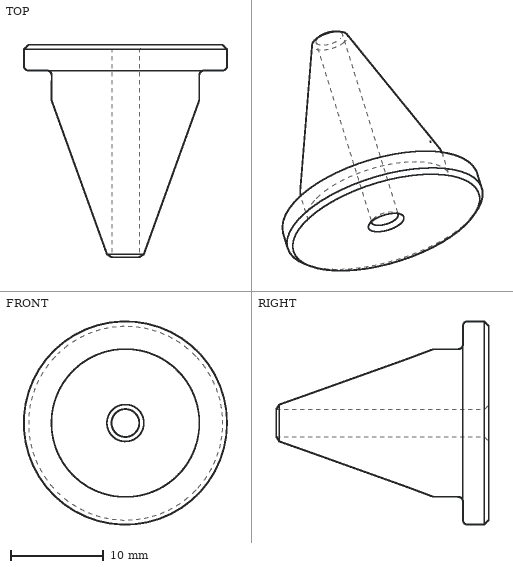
import cadquery as cq

total_length = 23.0
flange_thickness = 2.8
collar_end = 6.0

flange_diameter = 22.0
collar_diameter = 16.0
cone_end_diameter = 4.0
bore_diameter = 3.0

back_chamfer = 0.5
flange_fillet = 0.5
root_fillet = 0.5
shoulder_fillet = 0.5
tip_bevel_length = 0.32

flange_radius = flange_diameter / 2
collar_radius = collar_diameter / 2
cone_end_radius = cone_end_diameter / 2
bore_radius = bore_diameter / 2
back_y = total_length / 2
flange_front_y = back_y - flange_thickness
cone_start_y = back_y - collar_end
tip_y = back_y - total_length
cone_end_y = tip_y + tip_bevel_length

selection_margin = 0.02


def revolved_body():
    """Flange, collar, cone and straight through bore turned about the Y axis."""
    profile = (
        cq.Workplane("XY")
        .moveTo(bore_radius, back_y)
        .lineTo(flange_radius, back_y)
        .lineTo(flange_radius, flange_front_y)
        .lineTo(collar_radius, flange_front_y)
        .lineTo(collar_radius, cone_start_y)
        .lineTo(cone_end_radius, cone_end_y)
        .lineTo(bore_radius, tip_y)
        .close()
    )
    return profile.revolve(360, (0, 0, 0), (0, 1, 0))


def ring_edge(radius, y):
    """Selector for the circular edge of given radius at position y along the axis."""
    return cq.selectors.BoxSelector(
        (-radius - selection_margin, y - selection_margin, -radius - selection_margin),
        (radius + selection_margin, y + selection_margin, radius + selection_margin),
        boundingbox=True,
    )


def finish_edges(body):
    """Chamfer the back rim and round the remaining turned edges."""
    body = body.edges(ring_edge(flange_radius, back_y)).chamfer(back_chamfer)
    body = body.edges(ring_edge(collar_radius, flange_front_y)).fillet(root_fillet)
    body = body.edges(ring_edge(flange_radius, flange_front_y)).fillet(flange_fillet)
    return body.edges(ring_edge(collar_radius, cone_start_y)).fillet(shoulder_fillet)


result = finish_edges(revolved_body())